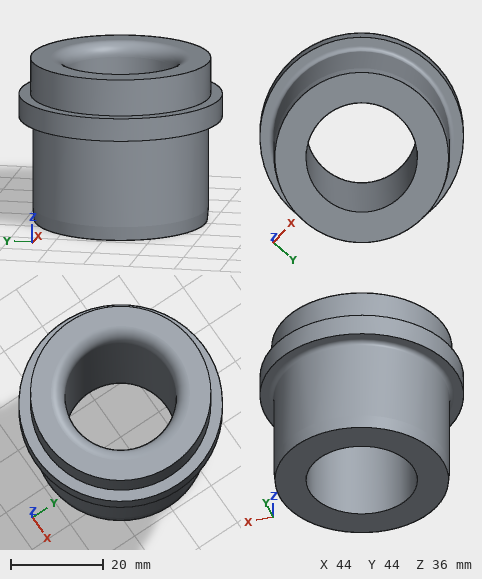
import cadquery as cq

total_height = 36.0
collar_height = 8.0
flange_thickness = 5.0
lead_in_height = 3.0
flange_top = total_height - collar_height
flange_bottom = flange_top - flange_thickness

flange_radius = 22.0
collar_radius = 19.5
body_radius = 19.0
lead_in_radius = 18.75
bore_radius = 12.0

mouth_round = 3.0
neck_fillet = 1.0


def half_section():
    """Closed wall section, with radius along X and height along Z."""
    return (
        cq.Workplane("XZ")
        .moveTo(bore_radius, 0)
        .lineTo(lead_in_radius, 0)
        .lineTo(body_radius, lead_in_height)
        .lineTo(body_radius, flange_bottom - neck_fillet)
        .radiusArc((body_radius + neck_fillet, flange_bottom), neck_fillet)
        .lineTo(flange_radius, flange_bottom)
        .lineTo(flange_radius, flange_top)
        .lineTo(collar_radius, flange_top)
        .lineTo(collar_radius, total_height)
        .lineTo(bore_radius + mouth_round, total_height)
        .radiusArc((bore_radius, total_height - mouth_round), -mouth_round)
        .close()
    )


result = half_section().revolve(360, (0, 0, 0), (0, 1, 0))